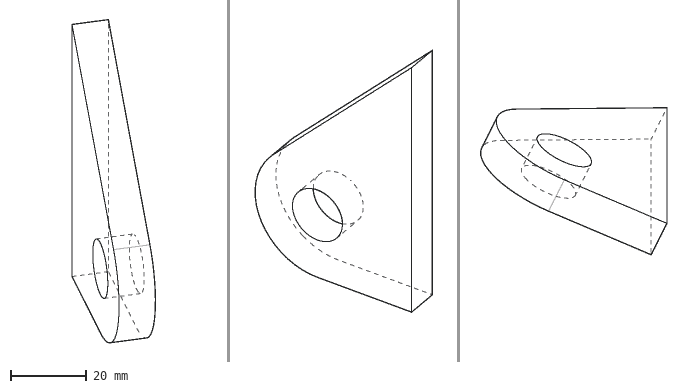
import cadquery as cq
import math

height = 78.3
thickness = 10.0
nose_radius = 20.0
hole_radius = 8.0

diagonal = math.sqrt(0.5)
length = height - nose_radius / diagonal
center_x = length - nose_radius
center_z = nose_radius
tangent_offset = nose_radius * diagonal

face_plane = cq.Plane(origin=(0, 0, 0), xDir=(1, -1, 0), normal=(-1, -1, 0))

plate = (
    cq.Workplane(face_plane)
    .lineTo(center_x, 0)
    .threePointArc(
        (length, center_z),
        (center_x + tangent_offset, center_z + tangent_offset),
    )
    .lineTo(0, height)
    .close()
    .extrude(-thickness)
)

hole = (
    cq.Workplane(face_plane)
    .center(center_x, center_z)
    .circle(hole_radius)
    .extrude(-thickness)
)

result = plate.cut(hole)